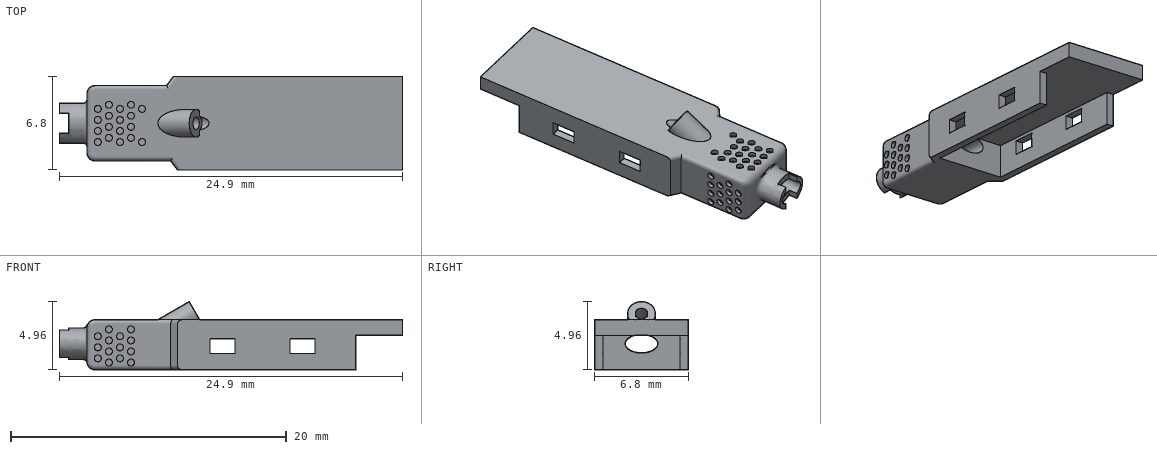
import cadquery as cq
import math

LENGTH = 24.9
BODY_WIDTH = 6.8
BODY_HEIGHT = 3.65

HEAD_X = 2.0
HEAD_WIDTH = 5.48
SHOULDER_X_LEFT = 7.78
SHOULDER_X_RIGHT = 8.08
SHOULDER_RUN = 0.5
NOSE_RADIUS = 0.6
EDGE_RADIUS = 0.3

STEP_X = 21.5
TAB_THICKNESS = 1.15
TAB_Z = BODY_HEIGHT - TAB_THICKNESS

SIDE_WALL = 0.6
CHANNEL_X = 9.1
WINDOW_LENGTH = 1.8
WINDOW_HEIGHT = 1.05
WINDOW_Z = 1.2
WINDOW_STARTS = (10.93, 16.73)

NOZZLE_Z = 1.9
NOZZLE_WIDTH = 2.93
NOZZLE_HEIGHT = 2.32
BORE_WIDTH = 2.36
BORE_HEIGHT = 1.36
ROOT_RADIUS = 0.23
TIP_SLOT_DEPTH = 0.68
TIP_SLOT_WIDTH = 1.43

TUBE_TILT = 30
TUBE_DIAMETER = 2.02
TUBE_BORE_DIAMETER = 0.9
TUBE_TOP_X = 9.42
TUBE_TOP_Z = 4.96
RELIEF_DIAMETER = 1.04
RELIEF_END_X = 10.85
RELIEF_LENGTH = 2

DIMPLE_DIAMETER = 0.5
DIMPLE_DEPTH = 0.3
DIMPLE_PITCH = 0.8
DIMPLE_X = 2.8
TOP_ODD_Y = -1.36
TOP_EVEN_Y = -1.06
SIDE_ODD_Z = 0.84
SIDE_EVEN_Z = 0.54


def centred_block(start_x, start_z, length, width, height):
    """Block centred on Y = 0, starting at the given X and Z."""
    block = cq.Workplane("XY").box(length, width, height, centered=(False, True, False))
    return block.translate((start_x, 0, start_z))


def make_body():
    """Wide body and narrow head, with the head's edges rounded."""
    half_head = HEAD_WIDTH / 2
    half_body = BODY_WIDTH / 2
    outline = [
        (HEAD_X, -half_head),
        (SHOULDER_X_RIGHT, -half_head),
        (SHOULDER_X_RIGHT + SHOULDER_RUN, -half_body),
        (LENGTH, -half_body),
        (LENGTH, half_body),
        (SHOULDER_X_LEFT + SHOULDER_RUN, half_body),
        (SHOULDER_X_LEFT, half_head),
        (HEAD_X, half_head),
    ]
    body = cq.Workplane("XY").polyline(outline).close().extrude(BODY_HEIGHT)

    margin = 0.01
    head_end = SHOULDER_X_RIGHT + SHOULDER_RUN
    long_edges = cq.selectors.BoxSelector(
        (HEAD_X + margin, -half_body, -margin),
        (head_end, half_body, BODY_HEIGHT + margin),
    )
    body = body.edges("#Z").edges(long_edges).fillet(EDGE_RADIUS)
    return body.faces("<X").edges().fillet(NOSE_RADIUS)


def cut_underside(body):
    """Rear step, open channel and the windows through both side walls."""
    step = centred_block(STEP_X, 0, LENGTH - STEP_X, BODY_WIDTH, TAB_Z)
    channel = centred_block(CHANNEL_X, 0, STEP_X - CHANNEL_X, BODY_WIDTH - 2 * SIDE_WALL, TAB_Z)
    body = body.cut(step).cut(channel)
    for window_x in WINDOW_STARTS:
        body = body.cut(centred_block(window_x, WINDOW_Z, WINDOW_LENGTH, BODY_WIDTH, WINDOW_HEIGHT))
    return body


def oval_prism(start_x, end_x, width, height):
    """Elliptical prism along the nozzle axis."""
    plane = cq.Workplane("YZ", origin=(start_x, 0, NOZZLE_Z))
    return plane.ellipse(width / 2, height / 2).extrude(end_x - start_x)


def add_nozzle(body):
    """Oval nozzle with a filleted root, bored through to the channel."""
    nozzle = oval_prism(0, HEAD_X + NOSE_RADIUS, NOZZLE_WIDTH, NOZZLE_HEIGHT)

    plate = centred_block(HEAD_X, NOZZLE_Z - HEAD_WIDTH / 2, NOSE_RADIUS, HEAD_WIDTH, HEAD_WIDTH)
    root_edge = cq.selectors.BoxSelector(
        (HEAD_X - ROOT_RADIUS, -NOZZLE_WIDTH, NOZZLE_Z - NOZZLE_HEIGHT),
        (HEAD_X + ROOT_RADIUS, NOZZLE_WIDTH, NOZZLE_Z + NOZZLE_HEIGHT),
    )
    root = nozzle.union(plate).edges(root_edge).fillet(ROOT_RADIUS).cut(plate)
    tip_slot = centred_block(0, 0, TIP_SLOT_DEPTH, TIP_SLOT_WIDTH, BODY_HEIGHT)
    bore = oval_prism(0, CHANNEL_X, BORE_WIDTH, BORE_HEIGHT)
    return body.union(nozzle).union(root).cut(tip_slot).cut(bore)


def tilted_rod(x, z, diameter, length):
    """Rod starting at (x, z) along the tube axis; negative length runs down and forward."""
    tilt = math.radians(TUBE_TILT)
    plane = cq.Plane(
        origin=(x, 0, z),
        xDir=(0, 1, 0),
        normal=(math.cos(tilt), 0, math.sin(tilt)),
    )
    return cq.Workplane(plane).circle(diameter / 2).extrude(length)


def add_tube(body):
    """Tilted tube whose bore meets the nozzle bore, and a relief groove behind its end face."""
    tilt = math.radians(TUBE_TILT)
    radius = TUBE_DIAMETER / 2
    face_x = TUBE_TOP_X + radius * math.sin(tilt)
    face_z = TUBE_TOP_Z - radius * math.cos(tilt)

    tube_length = (face_z - NOZZLE_Z) / math.sin(tilt)
    above_top = centred_block(0, BODY_HEIGHT, LENGTH, BODY_WIDTH, BODY_HEIGHT)
    tube = tilted_rod(face_x, face_z, TUBE_DIAMETER, -tube_length).intersect(above_top)
    bore = tilted_rod(face_x, face_z, TUBE_BORE_DIAMETER, -tube_length)

    relief_axis_x = RELIEF_END_X - RELIEF_DIAMETER / 2 / math.sin(tilt)
    tube_axis_x = face_x - (face_z - BODY_HEIGHT) / math.tan(tilt)
    drop = (relief_axis_x - tube_axis_x) * math.sin(tilt)
    relief_x = face_x + drop * math.sin(tilt)
    relief_z = face_z - drop * math.cos(tilt)
    relief = tilted_rod(relief_x, relief_z, RELIEF_DIAMETER, RELIEF_LENGTH)
    return body.union(tube).cut(bore).cut(relief)


def staggered_points(columns):
    """Points of each (start, indices) column, spaced by the dimple pitch along X."""
    return [
        (DIMPLE_X + column * DIMPLE_PITCH, start + index * DIMPLE_PITCH)
        for column, (start, indices) in enumerate(columns)
        for index in indices
    ]


def cut_dimples(body):
    """Grip dimples on the top and on both sides of the head."""
    radius = DIMPLE_DIAMETER / 2
    top_points = staggered_points([
        (TOP_ODD_Y, range(4)),
        (TOP_EVEN_Y, range(4)),
        (TOP_ODD_Y, range(4)),
        (TOP_EVEN_Y, range(4)),
        (TOP_ODD_Y, (0, 3)),
    ])
    top_plane = cq.Workplane("XY", origin=(0, 0, BODY_HEIGHT))
    body = body.cut(top_plane.pushPoints(top_points).circle(radius).extrude(-DIMPLE_DEPTH))

    side_points = staggered_points([
        (SIDE_ODD_Z, range(3)),
        (SIDE_EVEN_Z, range(4)),
        (SIDE_ODD_Z, range(3)),
        (SIDE_EVEN_Z, range(4)),
    ])
    side_plane = cq.Workplane("XZ", origin=(0, -HEAD_WIDTH / 2, 0))
    side_dimples = side_plane.pushPoints(side_points).circle(radius).extrude(-DIMPLE_DEPTH)
    return body.cut(side_dimples).cut(side_dimples.mirror("XZ"))


result = make_body()
result = cut_underside(result)
result = add_nozzle(result)
result = add_tube(result)
result = cut_dimples(result)